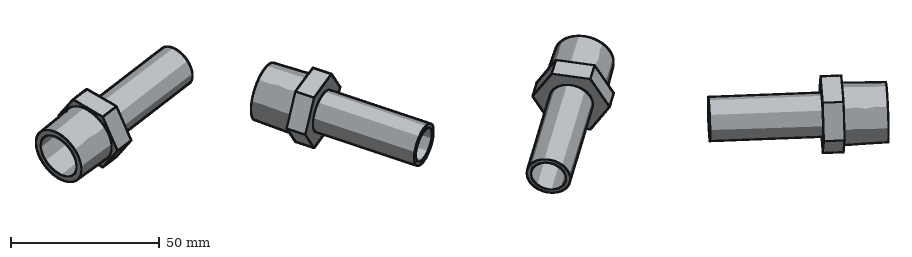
import cadquery as cq
import math

total_length = 60.0
thread_length = 15.0
hex_length = 7.0
hex_start = -total_length / 2 + thread_length
hex_end = hex_start + hex_length
tube_length = total_length / 2 - hex_end

hex_across_flats = 23.0
hex_across_corners = hex_across_flats / math.cos(math.pi / 6)
tube_diameter = 15.0
tube_bore = 12.0
thread_bore = 16.0
thread_bore_depth = thread_length
thread_end_diameter = 20.4
thread_root_diameter = 21.25


def section_at(y):
    """Workplane across the part axis at position y, with its normal along +Y."""
    return cq.Workplane(cq.Plane(origin=(0, y, 0), xDir=(1, 0, 0), normal=(0, 1, 0)))


thread = (
    section_at(-total_length / 2)
    .circle(thread_end_diameter / 2)
    .workplane(offset=thread_length)
    .circle(thread_root_diameter / 2)
    .loft()
)

hexagon = section_at(hex_start).polygon(6, hex_across_corners).extrude(hex_length)

tube = section_at(hex_end).circle(tube_diameter / 2).extrude(tube_length)

through_bore = section_at(-total_length / 2).circle(tube_bore / 2).extrude(total_length)
wide_bore = section_at(-total_length / 2).circle(thread_bore / 2).extrude(thread_bore_depth)

result = thread.union(hexagon).union(tube).cut(through_bore).cut(wide_bore)